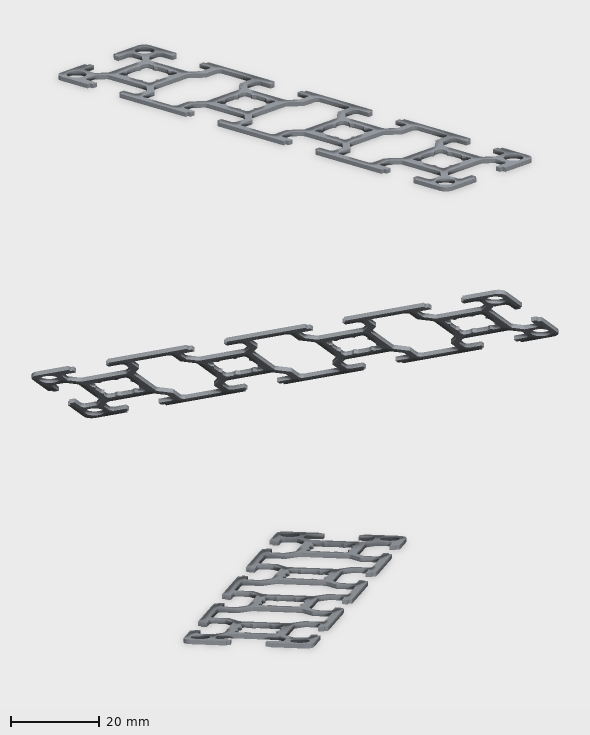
import cadquery as cq

module = 30.0
module_count = 4
length = module * module_count
width = module
thickness = 1.0
outer_corner_radius = 2.0

recess_half_width = 4.9
recess_depth = 0.85
mouth_half_width = 4.1
lip_thickness = 2.2
slot_half_width = 8.0
slot_depth = 8.0
floor_half_width = 5.8
slot_shoulder_radius = 1.0
floor_corner_radius = 1.0

core_half_width = 4.9
core_corner_radius = 0.8
rib_offset = 2.2
rib_half_width = 0.8
rib_height = 0.5

chamber_roof_thickness = 1.8
chamber_half_width = 5.2
chamber_corner_radius = 1.0

corner_hole_diameter = 4.5
corner_hole_inset = 3.5

half_module = module / 2
floor_distance = half_module - slot_depth
diagonal_rise = slot_half_width - floor_half_width
module_centers = [(i - (module_count - 1) / 2) * module for i in range(module_count)]
chamber_centers = [(a + b) / 2 for a, b in zip(module_centers, module_centers[1:])]


def mirrored_outline(right_side):
    """Closed outline from its right-hand points, mirrored about the Y axis."""
    left_side = [(-x, y) for x, y in reversed(right_side)]
    return cq.Workplane("XY").polyline(right_side + left_side).close()


def t_slot():
    """Cutter for a T-slot open towards +Y, for a module centred on the origin."""
    lip_inner = half_module - lip_thickness
    cavity = mirrored_outline([
        (floor_half_width, floor_distance),
        (slot_half_width, floor_distance + diagonal_rise),
        (slot_half_width, lip_inner),
    ]).extrude(thickness)
    cavity = cavity.edges("|Z and >Y").fillet(slot_shoulder_radius)
    cavity = cavity.edges("|Z and <Y").fillet(floor_corner_radius)
    mouth = mirrored_outline([
        (mouth_half_width, floor_distance + diagonal_rise),
        (mouth_half_width, half_module - recess_depth),
        (recess_half_width, half_module - recess_depth),
        (recess_half_width, half_module),
    ]).extrude(thickness)
    return cavity.union(mouth)


def core():
    """Cutter for the square core, with two pointed ribs left on each wall."""
    side = 2 * core_half_width
    cutter = cq.Workplane("XY").rect(side, side).extrude(thickness)
    cutter = cutter.edges("|Z").fillet(core_corner_radius)
    for angle in (0, 90, 180, 270):
        for center in (-rib_offset, rib_offset):
            rib = (
                cq.Workplane("XY")
                .moveTo(center - rib_half_width, core_half_width)
                .lineTo(center, core_half_width - rib_height)
                .lineTo(center + rib_half_width, core_half_width)
                .close()
                .extrude(thickness)
            )
            cutter = cutter.cut(rib.rotate((0, 0, 0), (0, 0, 1), angle))
    return cutter


def chamber():
    """Cutter for the tall chamber between two modules, centred between them."""
    waist_half_width = half_module - floor_distance
    roof = width / 2 - chamber_roof_thickness
    shoulder = floor_half_width + waist_half_width - chamber_half_width
    cutter = mirrored_outline([
        (chamber_half_width, -roof),
        (chamber_half_width, -shoulder),
        (waist_half_width, -floor_half_width),
        (waist_half_width, floor_half_width),
        (chamber_half_width, shoulder),
        (chamber_half_width, roof),
    ]).extrude(thickness)
    cutter = cutter.edges("|Z and (<X or >X)").fillet(floor_corner_radius)
    return cutter.edges("|Z and (<Y or >Y)").fillet(chamber_corner_radius)


def turned(cutter, angle):
    return cutter.rotate((0, 0, 0), (0, 0, 1), angle)


profile = cq.Workplane("XY").rect(length, width).extrude(thickness)
profile = profile.edges("|Z").fillet(outer_corner_radius)

for x in module_centers:
    for cutter in (core(), t_slot(), turned(t_slot(), 180)):
        profile = profile.cut(cutter.translate((x, 0, 0)))

profile = profile.cut(turned(t_slot(), 90).translate((module_centers[0], 0, 0)))
profile = profile.cut(turned(t_slot(), -90).translate((module_centers[-1], 0, 0)))

for x in chamber_centers:
    profile = profile.cut(chamber().translate((x, 0, 0)))

corner_holes = (
    cq.Workplane("XY")
    .rect(length - 2 * corner_hole_inset, width - 2 * corner_hole_inset, forConstruction=True)
    .vertices()
    .circle(corner_hole_diameter / 2)
    .extrude(thickness)
)
result = profile.cut(corner_holes)